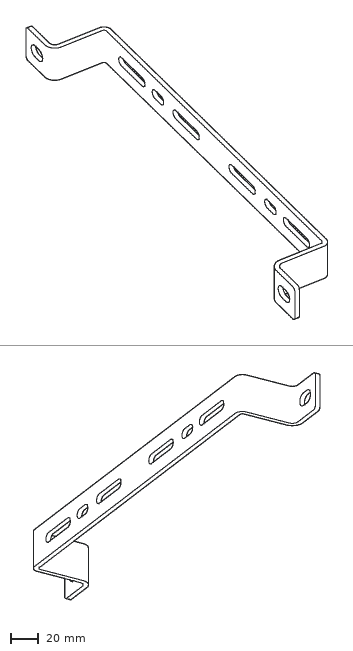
import cadquery as cq

length = 360.0
depth = 50.0
height = 30.0
thickness = 4.0

bar_width = 300.2
bar_bend_inner = 2.0
flange_bend_inner = 4.5
corner_radius = 3.0

bar_slot_width = 7.5
long_slot_length = 35.0
short_slot_length = 15.0
long_slot_offsets = (37.5, 110.0)
short_slot_offset = 75.2
flange_slot_offset = 165.2
flange_slot_length = 15.0
flange_slot_width = 10.0

half_length = length / 2
half_bar = bar_width / 2
leg_inside = half_bar - thickness
front = -depth / 2
back = depth / 2


def bent_strip():
    """Hat-shaped strip, extruded along its width."""
    outline = [
        (-half_length, front),
        (-leg_inside, front),
        (-leg_inside, back - thickness),
        (leg_inside, back - thickness),
        (leg_inside, front),
        (half_length, front),
        (half_length, front + thickness),
        (half_bar, front + thickness),
        (half_bar, back),
        (-half_bar, back),
        (-half_bar, front + thickness),
        (-half_length, front + thickness),
    ]
    strip = cq.Workplane("XY").polyline(outline).close().extrude(height / 2, both=True)

    def round_edges(body, x, y, radius):
        for side in (-1, 1):
            edge = cq.selectors.NearestToPointSelector((side * x, y, 0))
            body = body.edges("|Z").edges(edge).fillet(radius)
        return body

    strip = round_edges(strip, half_bar, back, bar_bend_inner + thickness)
    strip = round_edges(strip, leg_inside, back - thickness, bar_bend_inner)
    strip = round_edges(strip, leg_inside, front, flange_bend_inner + thickness)
    return round_edges(strip, half_bar, front + thickness, flange_bend_inner)


def slot_pair(offset, slot_length, slot_width):
    """Mirrored pair of slot cutters running through the full depth."""
    return (
        cq.Workplane("XZ")
        .pushPoints([(-offset, 0), (offset, 0)])
        .slot2D(slot_length, slot_width)
        .extrude(depth, both=True)
    )


result = bent_strip()

result = result.faces("<X or >X").edges("|Y").fillet(corner_radius)

for long_slot_offset in long_slot_offsets:
    result = result.cut(slot_pair(long_slot_offset, long_slot_length, bar_slot_width))
result = result.cut(slot_pair(short_slot_offset, short_slot_length, bar_slot_width))
result = result.cut(slot_pair(flange_slot_offset, flange_slot_length, flange_slot_width))